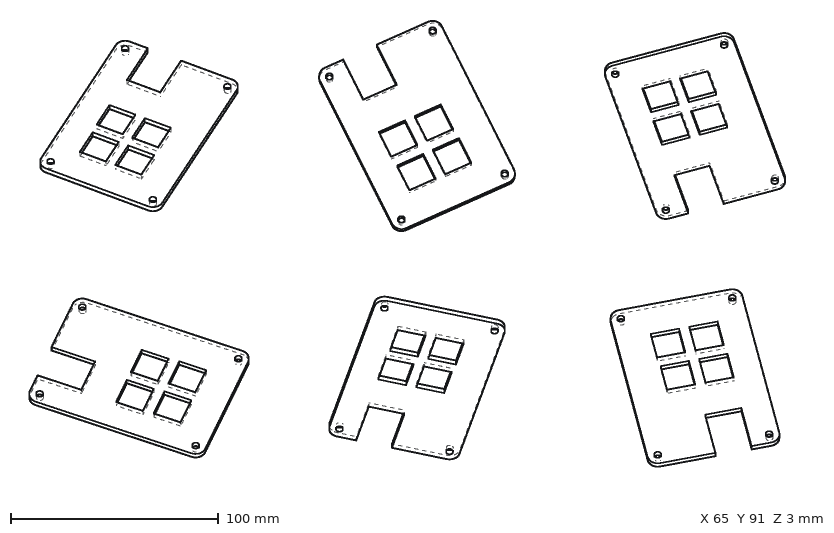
import cadquery as cq

width = 65.0
length = 91.0
thickness = 3.0
corner_radius = 5.0

screw_hole_diameter = 3.4
screw_spacing_x = width - 2 * corner_radius
screw_spacing_y = length - 2 * corner_radius

notch_left = -17.7
notch_right = 0.1
notch_depth = 22.7

window_size = 13.9
window_pitch = 19.0
row_centers = [(-1.6, -2.4), (-1.1, -21.7)]


def make_plate():
    plate = cq.Workplane("XY").box(width, length, thickness, centered=(True, True, False))
    return plate.edges("|Z").fillet(corner_radius)


def make_screw_holes():
    return (
        cq.Workplane("XY")
        .rect(screw_spacing_x, screw_spacing_y, forConstruction=True)
        .vertices()
        .circle(screw_hole_diameter / 2)
        .extrude(thickness)
    )


def make_notch():
    notch_width = notch_right - notch_left
    notch = cq.Workplane("XY").box(notch_width, notch_depth, thickness, centered=False)
    return notch.translate((notch_left, length / 2 - notch_depth, 0))


def make_windows():
    centers = [
        (row_x + side * window_pitch / 2, row_y)
        for row_x, row_y in row_centers
        for side in (-1, 1)
    ]
    return cq.Workplane("XY").pushPoints(centers).rect(window_size, window_size).extrude(thickness)


result = make_plate().cut(make_screw_holes()).cut(make_notch()).cut(make_windows())